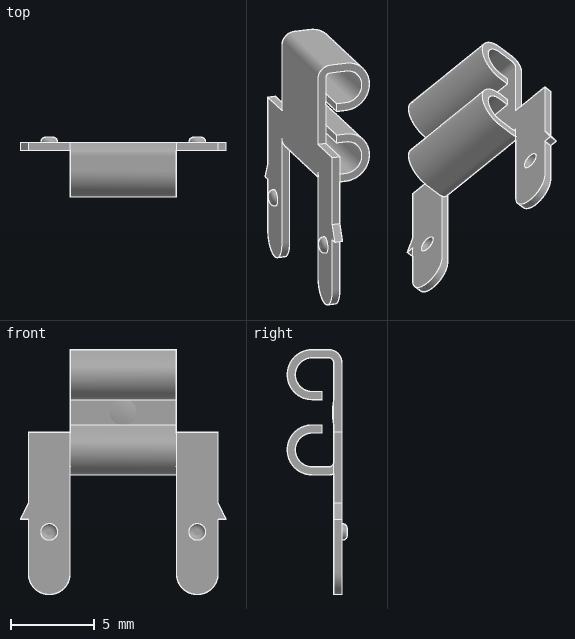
import cadquery as cq

HEIGHT = 14.65
THICKNESS = 0.5

STRIP_WIDTH = 6.35
LOOP_HEIGHT = 3.0
LOOP_GAP = 1.5
LOOP_FRONT = -3.28
LIP_END = -1.19
BEND_INNER_RADIUS = 0.3
bend_outer_radius = BEND_INNER_RADIUS + THICKNESS
loop_outer_radius = LOOP_HEIGHT / 2
loop_inner_radius = loop_outer_radius - THICKNESS
loop_center_y = LOOP_FRONT + loop_outer_radius
strip_center_z = HEIGHT - LOOP_HEIGHT - LOOP_GAP / 2

LEG_WIDTH = 2.5
LEG_TOP = 9.71
BARB_TIP_X = 6.15
BARB_BOTTOM = 4.5
BARB_TOP = 5.46
leg_inner_x = STRIP_WIDTH / 2
leg_outer_x = leg_inner_x + LEG_WIDTH
leg_center_x = leg_inner_x + LEG_WIDTH / 2
leg_tip_radius = LEG_WIDTH / 2

DIMPLE_RADIUS = 0.5
DIMPLE_Z = 3.75
HOLLOW_FILLET = 0.3
BUTTON_HEIGHT = 0.32
BUTTON_FILLET = 0.3

DOME_DIAMETER = 1.6
DOME_HEIGHT = 0.09


def upper_half_strip():
    """Strip from its mid-height upwards, bent forward and curled into a loop."""
    front_y = -THICKNESS
    loop_bottom = HEIGHT - LOOP_HEIGHT
    loop_center_z = HEIGHT - loop_outer_radius
    bend_center_z = HEIGHT - bend_outer_radius
    inner_top = HEIGHT - THICKNESS
    diagonal = 0.5 ** 0.5
    bend_outer_mid = (
        -bend_outer_radius * (1 - diagonal),
        bend_center_z + bend_outer_radius * diagonal,
    )
    bend_inner_mid = (
        -bend_outer_radius + BEND_INNER_RADIUS * diagonal,
        bend_center_z + BEND_INNER_RADIUS * diagonal,
    )
    return (
        cq.Workplane("YZ")
        .moveTo(0, strip_center_z)
        .lineTo(0, bend_center_z)
        .threePointArc(bend_outer_mid, (-bend_outer_radius, HEIGHT))
        .lineTo(loop_center_y, HEIGHT)
        .threePointArc((LOOP_FRONT, loop_center_z), (loop_center_y, loop_bottom))
        .lineTo(LIP_END, loop_bottom)
        .lineTo(LIP_END, loop_bottom + THICKNESS)
        .lineTo(loop_center_y, loop_bottom + THICKNESS)
        .threePointArc((loop_center_y - loop_inner_radius, loop_center_z), (loop_center_y, inner_top))
        .lineTo(-bend_outer_radius, inner_top)
        .threePointArc(bend_inner_mid, (front_y, bend_center_z))
        .lineTo(front_y, strip_center_z)
        .close()
        .extrude(STRIP_WIDTH / 2, both=True)
    )


def contact_dome():
    """Shallow spherical cap standing on the front face of the strip."""
    rim_radius = DOME_DIAMETER / 2
    sphere_radius = (rim_radius ** 2 + DOME_HEIGHT ** 2) / (2 * DOME_HEIGHT)
    sphere_center_y = sphere_radius - THICKNESS - DOME_HEIGHT
    sphere = cq.Workplane("XY").sphere(sphere_radius).translate((0, sphere_center_y, strip_center_z))
    cap_envelope = (
        cq.Workplane("XZ", origin=(0, -THICKNESS, strip_center_z))
        .circle(DOME_DIAMETER)
        .extrude(2 * DOME_HEIGHT)
    )
    return sphere.intersect(cap_envelope)


def dimple_cylinder(start_y, length):
    """Cylinder on the dimple axis, growing from start_y towards the back."""
    axis_plane = cq.Plane((leg_center_x, start_y, DIMPLE_Z), xDir=(1, 0, 0), normal=(0, 1, 0))
    return cq.Workplane(axis_plane).circle(DIMPLE_RADIUS).extrude(length)


def right_leg():
    """Leg at +X with a round tip, an outward barb and a pressed dimple."""
    plate = (
        cq.Workplane("XZ")
        .moveTo(leg_inner_x, LEG_TOP)
        .lineTo(leg_outer_x, LEG_TOP)
        .lineTo(leg_outer_x, BARB_TOP)
        .lineTo(BARB_TIP_X, BARB_BOTTOM)
        .lineTo(leg_outer_x, BARB_BOTTOM)
        .lineTo(leg_outer_x, leg_tip_radius)
        .threePointArc((leg_center_x, 0), (leg_inner_x, leg_tip_radius))
        .close()
        .extrude(THICKNESS)
    )
    button = dimple_cylinder(0, BUTTON_HEIGHT).faces(">Y").edges().fillet(BUTTON_FILLET)
    hollow_depth = BUTTON_HEIGHT
    hollow = dimple_cylinder(-THICKNESS, hollow_depth).faces(">Y").edges().fillet(HOLLOW_FILLET)
    return plate.union(button).cut(hollow)


upper_strip = upper_half_strip()
lower_strip = upper_strip.mirror("XY", (0, 0, strip_center_z))
leg = right_leg()
result = upper_strip.union(lower_strip).union(contact_dome()).union(leg).union(leg.mirror("YZ"))